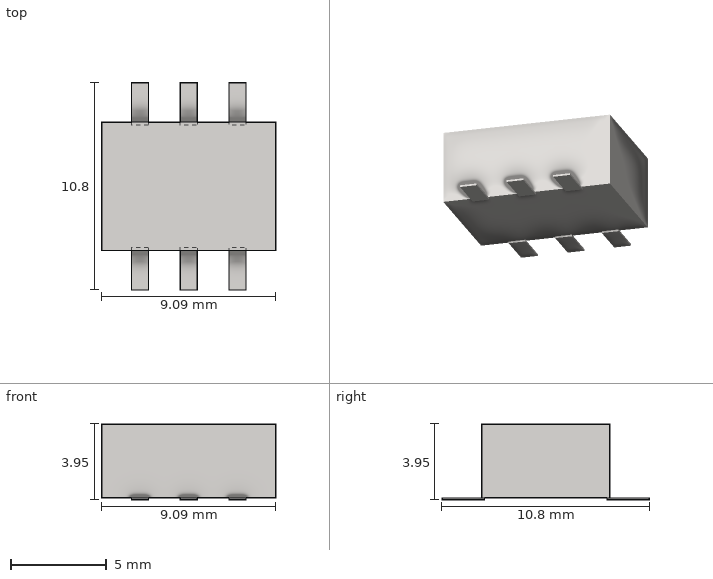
import cadquery as cq

overall_length = 10.81
overall_height = 3.95

housing_width = 9.09
housing_depth = 6.69

lead_width = 0.91
lead_length = 2.22
lead_thickness = 0.1
lead_pitch = 2.54
leads_per_side = 3

housing_height = overall_height - lead_thickness
lead_center_y = (overall_length - lead_length) / 2


def make_housing():
    """Plain block resting on top of the leads."""
    return (
        cq.Workplane("XY")
        .workplane(offset=lead_thickness)
        .rect(housing_width, housing_depth)
        .extrude(housing_height)
    )


def make_lead(x, y):
    """Flat strip centered at (x, y), with its underside at Z = 0."""
    return cq.Workplane("XY").center(x, y).rect(lead_width, lead_length).extrude(lead_thickness)


housing = make_housing()

leads = []
for side in (-1, 1):
    for index in range(leads_per_side):
        lead_x = (index - (leads_per_side - 1) / 2) * lead_pitch
        leads.append(make_lead(lead_x, side * lead_center_y).val())

result = cq.Compound.makeCompound([housing.val(), *leads])